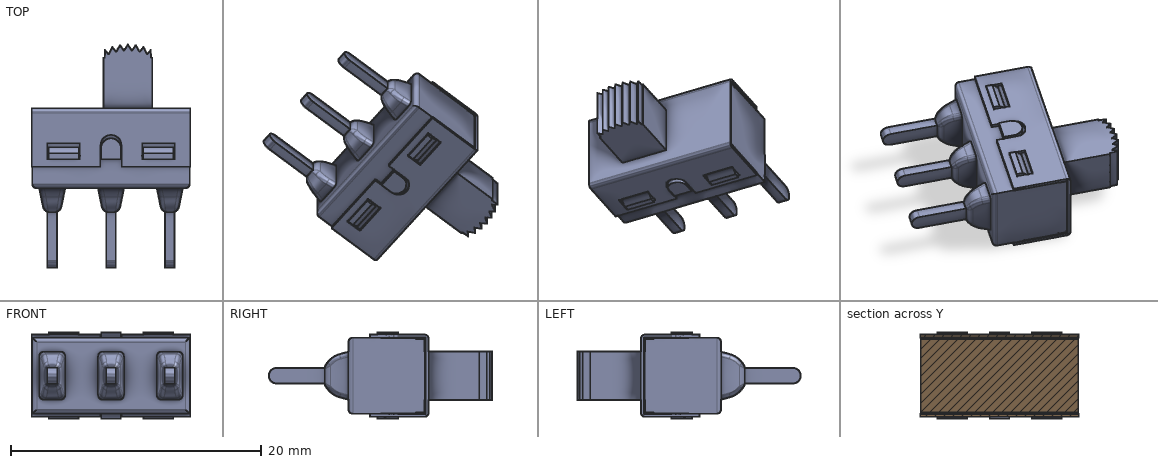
import cadquery as cq
import math


OVERALL_DEPTH = 17.86
OVERALL_HEIGHT = 6.91

SHELL_LENGTH = 12.7
SHELL_HEIGHT = 6.6
SHELL_DEPTH = 4.7
SHELL_THICKNESS = 0.25
SHELL_BEND_RADIUS = 0.36

BODY_LENGTH = 12.6
BODY_HEIGHT = SHELL_HEIGHT - 2 * SHELL_THICKNESS
BODY_FRONT_Y = -6.42
BODY_BACK_GAP = 0.08
BODY_BACK_Y = -(SHELL_THICKNESS + BODY_BACK_GAP)
BODY_EDGE_RADIUS = 0.37
BODY_CLEARANCES = ((0.1, 1.0), (0.04, 3.8))

LATCH_OFFSET_X = 3.79
LATCH_FRONT_Y = -4.1
WINDOW_LENGTH = 2.6
WINDOW_WIDTH = 1.3
BARB_LENGTH = 2.39
BARB_WIDTH = 0.98
BARB_FLAT = 0.49

KEY_WIDTH = 1.58
KEY_BACK_Y = -2.42
SLOT_WIDTH = 1.68
SLOT_BACK_Y = -2.15

LEVER_WIDTH = 3.92
LEVER_HEIGHT = 3.9
LEVER_CENTER_X = 1.35
LEVER_TIP_Y = 5.08
TOOTH_COUNT = 7
TOOTH_PITCH_ANGLE = 9.0
TOOTH_ARC_RADIUS = 4.03
TOOTH_DEPTH = 0.48
SHOULDER_Y = 4.03
SHOULDER_WIDTH = 0.1

TERMINAL_PITCH = 4.7
PIN_THICKNESS = 0.79
PIN_HEIGHT = 1.26
PIN_TIP_Y = LEVER_TIP_Y - OVERALL_DEPTH
BOSS_LENGTH = 2.08
BOSS_HEIGHT = 3.84
BOSS_DEPTH = 1.92
BOSS_STRAIGHT_DEPTH = 0.66
BOSS_END_DRAFT = 15.0
BOSS_SIDE_DRAFT = 11.5
BOSS_EDGE_RADIUS = 0.4
BOSS_FRONT_RADIUS = 0.6


def box(length, height, y_back, y_front):
    """Box centred in X and Z between two Y positions."""
    center_y = (y_back + y_front) / 2
    return cq.Workplane("XY").box(length, y_back - y_front, height).translate((0, center_y, 0))


def round_ended_prism(width, y_back, y_front, height):
    """Prism centred in Z whose +Y end is a half circle."""
    half = width / 2
    return (
        cq.Workplane("XY")
        .moveTo(-half, y_front)
        .lineTo(-half, y_back - half)
        .threePointArc((0, y_back), (half, y_back - half))
        .lineTo(half, y_front)
        .close()
        .extrude(height / 2, both=True)
    )


def make_shell():
    shell = box(SHELL_LENGTH, SHELL_HEIGHT, 0, -SHELL_DEPTH)
    shell = shell.faces(">Y").edges("|X").fillet(SHELL_BEND_RADIUS)
    shell = shell.cut(box(SHELL_LENGTH, BODY_HEIGHT, -SHELL_THICKNESS, -SHELL_DEPTH))
    shell = shell.cut(round_ended_prism(SLOT_WIDTH, SLOT_BACK_Y, -SHELL_DEPTH, SHELL_HEIGHT))
    window = box(WINDOW_LENGTH, SHELL_HEIGHT, LATCH_FRONT_Y + WINDOW_WIDTH, LATCH_FRONT_Y)
    for side in (-1, 1):
        shell = shell.cut(window.translate((side * LATCH_OFFSET_X, 0, 0)))
    return shell


def make_body():
    body = box(BODY_LENGTH, BODY_HEIGHT, BODY_BACK_Y, BODY_FRONT_Y)
    body = body.faces("<Y").edges().fillet(BODY_EDGE_RADIUS)
    for gap, reach in BODY_CLEARANCES:
        relief = box(BODY_LENGTH, BODY_HEIGHT, 0, -reach)
        relief = relief.cut(box(BODY_LENGTH, BODY_HEIGHT - 2 * gap, 0, -reach))
        body = body.cut(relief)
    return body


def make_barbs():
    """Full-height bar whose top and bottom ends form two opposite snap barbs."""
    y_back = LATCH_FRONT_Y + BARB_WIDTH
    y_crest = LATCH_FRONT_Y + BARB_FLAT
    base = BODY_HEIGHT / 2
    crest = OVERALL_HEIGHT / 2
    return (
        cq.Workplane("YZ")
        .polyline([
            (LATCH_FRONT_Y, crest),
            (y_crest, crest),
            (y_back, base),
            (y_back, -base),
            (y_crest, -crest),
            (LATCH_FRONT_Y, -crest),
        ])
        .close()
        .extrude(BARB_LENGTH / 2, both=True)
    )


def make_lever():
    half = LEVER_WIDTH / 2
    points = [(-half, BODY_BACK_Y), (-half, SHOULDER_Y), (-half + SHOULDER_WIDTH, SHOULDER_Y)]
    last_step = TOOTH_COUNT - 1
    for step in range(-last_step, last_step + 1):
        angle = math.radians(step * TOOTH_PITCH_ANGLE / 2)
        is_valley = (step + last_step) % 2 == 1
        drop = TOOTH_ARC_RADIUS * (1 - math.cos(angle))
        if is_valley:
            drop += TOOTH_DEPTH
        points.append((TOOTH_ARC_RADIUS * math.sin(angle), LEVER_TIP_Y - drop))
    points += [(half - SHOULDER_WIDTH, SHOULDER_Y), (half, SHOULDER_Y), (half, BODY_BACK_Y)]
    lever = cq.Workplane("XY").polyline(points).close().extrude(LEVER_HEIGHT / 2, both=True)
    return lever.translate((LEVER_CENTER_X, 0, 0))


def make_boss_profile():
    """Side outline of a boss, with drafted and rounded ends, over its full length."""
    y_arc = BODY_FRONT_Y - BOSS_STRAIGHT_DEPTH
    y_front = BODY_FRONT_Y - BOSS_DEPTH
    base = BOSS_HEIGHT / 2
    draft = math.radians(BOSS_END_DRAFT)
    arc_start = base - BOSS_STRAIGHT_DEPTH * math.tan(draft)
    flat = PIN_HEIGHT / 2
    run = y_arc - y_front
    fall = arc_start - flat
    radius = (run**2 + fall**2) / (2 * (fall * math.cos(draft) - run * math.sin(draft)))
    mid_angle = math.atan2(fall, run)
    mid_y = y_arc - radius * (math.sin(mid_angle) - math.sin(draft))
    mid_z = arc_start - radius * (math.cos(draft) - math.cos(mid_angle))
    return (
        cq.Workplane("YZ")
        .moveTo(BODY_FRONT_Y, base)
        .lineTo(y_arc, arc_start)
        .threePointArc((mid_y, mid_z), (y_front, flat))
        .lineTo(y_front, -flat)
        .threePointArc((mid_y, -mid_z), (y_arc, -arc_start))
        .lineTo(BODY_FRONT_Y, -base)
        .close()
        .extrude(BOSS_LENGTH / 2, both=True)
    )


def make_boss():
    y_front = BODY_FRONT_Y - BOSS_DEPTH
    half = BOSS_LENGTH / 2
    front_half = half - BOSS_DEPTH * math.tan(math.radians(BOSS_SIDE_DRAFT))
    plan = (
        cq.Workplane("XY")
        .polyline([(-half, BODY_FRONT_Y), (-front_half, y_front), (front_half, y_front), (half, BODY_FRONT_Y)])
        .close()
        .extrude(BOSS_HEIGHT / 2, both=True)
    )
    boss = make_boss_profile().intersect(plan)
    boss = boss.faces("<Y").edges("|Z").fillet(BOSS_FRONT_RADIUS)
    end_edges = boss.faces("<X or >X").edges("not (|Z)")
    return end_edges.fillet(BOSS_EDGE_RADIUS)


def make_pin():
    tip_radius = PIN_HEIGHT / 2
    tip_center_y = PIN_TIP_Y + tip_radius
    pin = box(PIN_THICKNESS, PIN_HEIGHT, BODY_FRONT_Y, tip_center_y)
    tip = cq.Workplane("YZ").circle(tip_radius).extrude(PIN_THICKNESS / 2, both=True)
    return pin.union(tip.translate((0, tip_center_y, 0)))


def make_switch():
    switch = make_body().union(make_shell()).union(make_lever())
    switch = switch.union(round_ended_prism(KEY_WIDTH, KEY_BACK_Y, LATCH_FRONT_Y, OVERALL_HEIGHT))
    barbs = make_barbs()
    for side in (-1, 1):
        switch = switch.union(barbs.translate((side * LATCH_OFFSET_X, 0, 0)))
    terminal = make_boss().union(make_pin())
    for position in (-1, 0, 1):
        switch = switch.union(terminal.translate((position * TERMINAL_PITCH, 0, 0)))
    return switch


result = make_switch()